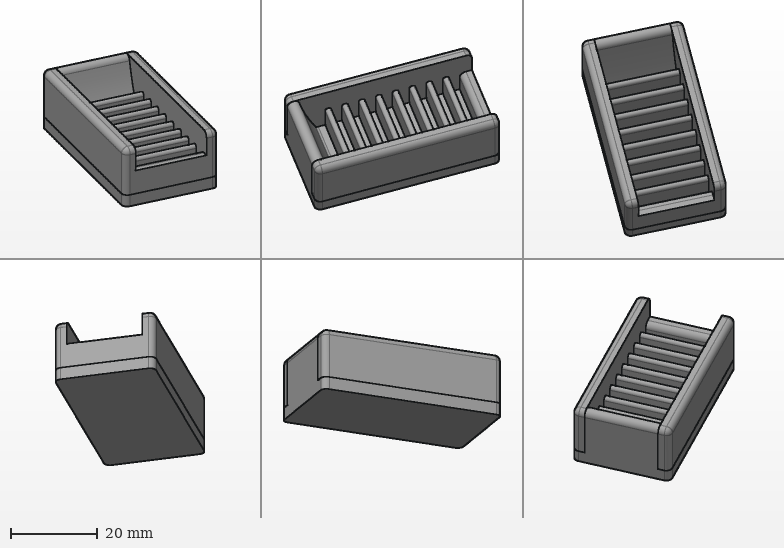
import cadquery as cq
import math

LENGTH = 45.0
WALL = LENGTH / 15
WIDTH = 8 * WALL
HEIGHT = 5 * WALL
INNER_WIDTH = WIDTH - 2 * WALL
EDGE_RADIUS = WALL / 2
LOW_TOP = 3 * WALL

RAMP_RADIUS = 42.75
RAMP_START_ANGLE = 77.0
RAMP_FOOT_RADIUS = WALL / 4

SLAT_COUNT = 8
SLAT_THICKNESS = WALL / 2
SLAT_PITCH = 4.1

LEFT_MIDDLE = math.radians(-45)


def along(point, angle, distance):
    """Point (x, z) at a distance from another, in the direction tilted by angle from +Z toward +X."""
    return point[0] + distance * math.sin(angle), point[1] + distance * math.cos(angle)


def extrude_across(profile):
    """Close an XZ profile and extrude it over the clear width between the side walls."""
    return profile.close().extrude(INNER_WIDTH / 2, both=True)


def floor_plate():
    """Plate under the whole part, with rounded vertical corners."""
    plate = cq.Workplane("XY").box(LENGTH, WIDTH, WALL, centered=(False, True, False))
    return plate.edges("|Z").fillet(EDGE_RADIUS)


def end_wall():
    """Full-height wall at X = 0 with a round top and a curved ramp inside."""
    round_centre = (EDGE_RADIUS, HEIGHT - EDGE_RADIUS)
    start_angle = math.radians(RAMP_START_ANGLE)
    ramp_centre = along(round_centre, start_angle, EDGE_RADIUS + RAMP_RADIUS)

    foot_reach = RAMP_RADIUS - RAMP_FOOT_RADIUS
    end_angle = math.acos((ramp_centre[1] - WALL - RAMP_FOOT_RADIUS) / foot_reach)
    foot_centre = along(ramp_centre, end_angle, -foot_reach)
    middle_angle = (start_angle + end_angle) / 2

    profile = (
        cq.Workplane("XZ")
        .moveTo(0, WALL)
        .lineTo(0, round_centre[1])
        .threePointArc(along(round_centre, LEFT_MIDDLE, EDGE_RADIUS), (EDGE_RADIUS, HEIGHT))
        .threePointArc(
            along(round_centre, start_angle / 2, EDGE_RADIUS),
            along(round_centre, start_angle, EDGE_RADIUS),
        )
        .threePointArc(
            along(ramp_centre, middle_angle, -RAMP_RADIUS),
            along(ramp_centre, end_angle, -RAMP_RADIUS),
        )
        .threePointArc(
            along(foot_centre, end_angle / 2, -RAMP_FOOT_RADIUS),
            (foot_centre[0], WALL),
        )
    )
    return extrude_across(profile)


def slat(left_x):
    """Upright slat with a fully rounded top edge, between the side walls."""
    radius = SLAT_THICKNESS / 2
    right_x = left_x + SLAT_THICKNESS
    shoulder_z = LOW_TOP - radius
    profile = (
        cq.Workplane("XZ")
        .moveTo(left_x, WALL)
        .lineTo(left_x, shoulder_z)
        .threePointArc((left_x + radius, LOW_TOP), (right_x, shoulder_z))
        .lineTo(right_x, WALL)
    )
    return extrude_across(profile)


def make_base():
    """Base body: floor plate with the end wall and a row of slats spaced back from the sill."""
    body = floor_plate().union(end_wall())
    for number in range(1, SLAT_COUNT + 1):
        body = body.union(slat(LENGTH - WALL - number * SLAT_PITCH))
    return body


def side_wall(side):
    """Side wall standing on the floor plate; side is -1 or +1 along Y."""
    wall = (
        cq.Workplane("XY")
        .box(LENGTH, WALL, HEIGHT - WALL, centered=(False, True, False))
        .translate((0, side * (WIDTH - WALL) / 2, WALL))
    )
    outer_face = ">Y" if side > 0 else "<Y"
    outer_edges = wall.faces(outer_face).edges("|Z or >Z")
    top_end_edges = wall.faces(">Z").edges("|Y")
    return wall.newObject(outer_edges.vals() + top_end_edges.vals()).fillet(EDGE_RADIUS)


def sill():
    """Low wall at the +X end with its inner top edge rounded."""
    inner_x = LENGTH - WALL
    round_centre = (inner_x + EDGE_RADIUS, LOW_TOP - EDGE_RADIUS)
    profile = (
        cq.Workplane("XZ")
        .moveTo(inner_x, WALL)
        .lineTo(inner_x, round_centre[1])
        .threePointArc(along(round_centre, LEFT_MIDDLE, EDGE_RADIUS), (round_centre[0], LOW_TOP))
        .lineTo(LENGTH, LOW_TOP)
        .lineTo(LENGTH, WALL)
    )
    return extrude_across(profile)


def make_frame():
    """Frame body: the two side walls joined by the sill, open toward the end wall."""
    return sill().union(side_wall(-1)).union(side_wall(1))


base = make_base()
frame = make_frame()

result = cq.Compound.makeCompound([base.solids().val(), frame.solids().val()])